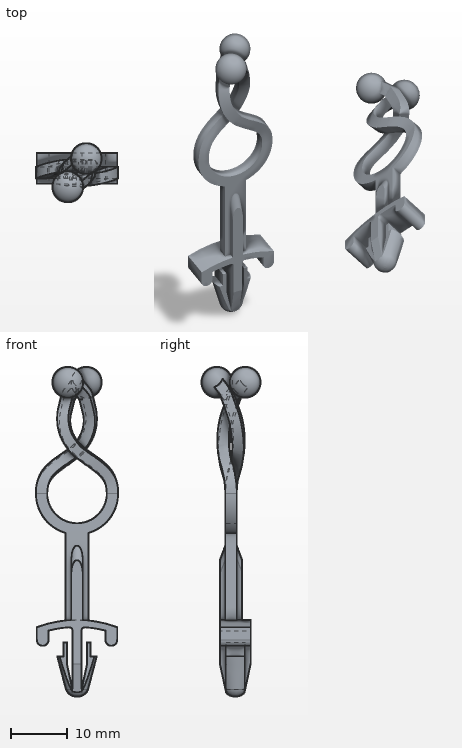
import cadquery as cq
import math

strap = 2.05
ring_outer_radius = 7.25
ring_inner_radius = ring_outer_radius - strap
ring_radius = ring_outer_radius - strap / 2
ring_z = 35.75
stem_half_width = 2.05

total_height = 58.05
ball_radius = 2.7
ball_x = 1.6
ball_y = 2.5
ball_z = total_height - ball_radius

arm_lift_angle = 32
arm_lift_y = -0.35
arm_exit_angle = 64
arm_exit_y = -1.0
arm_crossing = (0, -1.3, 43.4)
arm_outermost = (-2.3, -0.65, 49.35)
arm_return = (-1.6, 0.45, 52.45)
arm_end = (0.1, 2.0, 54.95)
arm_start_direction = (0, 0, 1)
arm_end_direction = (0.6, 0.5, 0.7)

rib_half_width = 1.0
rib_half_depth = 2.0
rib_apex_z = 26.6
rib_arch_height = 2.3
rib_slope_drop = 2.55

plate_front_y = -rib_half_depth
plate_depth = 5.45
anchor_y = plate_front_y + plate_depth / 2
plate_half_width = 7.1
plate_crown_z = 13.5
plate_edge_z = 12.25
plate_thickness = 1.3
leg_width = 2.1
leg_bottom_z = 8.95
root_fillet = 0.6

post_half_width = 0.8
post_taper_z = 5.8
post_tip_z = 0.85
barb_depth = 3.3
barb_root_radius = 2.0
barb_root_z = 1.35
barb_shelf_radius = 3.5
barb_shelf_z = 7.1
finger_outer_x = 2.4
finger_inner_x = 1.75
finger_top_z = 9.6
slot_bend_z = 5.7
tip_bulge_x = 1.2
tip_bulge_z = 0.35


def box_between(x0, x1, y0, y1, z0, z1):
    return cq.Workplane("XY").box(x1 - x0, y1 - y0, z1 - z0, centered=False).translate((x0, y0, z0))


def front_prism(sketch, depth, center_y):
    """Extrude an XZ outline symmetrically about the plane Y = center_y."""
    return sketch.extrude(depth / 2, both=True).translate((0, center_y, 0))


def ring_and_stem():
    """Lower half of the ring, standing on the flat stem."""
    disc = front_prism(cq.Workplane("XZ").center(0, ring_z).circle(ring_outer_radius), strap, 0)
    hole = front_prism(cq.Workplane("XZ").center(0, ring_z).circle(ring_inner_radius), 2 * strap, 0)
    stem = box_between(-stem_half_width, stem_half_width, -strap / 2, strap / 2,
                       plate_edge_z, ring_z - ring_inner_radius)
    lower_half = box_between(-ring_outer_radius, ring_outer_radius, -strap, strap, 0, ring_z)
    return disc.union(stem).cut(hole).intersect(lower_half)


def arm_with_ball():
    """Right arm: closes the ring, crosses in front, then swings back to its ball."""
    def on_ring(degrees, y):
        angle = math.radians(degrees)
        return (ring_radius * math.cos(angle), y, ring_z + ring_radius * math.sin(angle))

    path = cq.Workplane("XY").spline(
        [
            on_ring(0, 0),
            on_ring(arm_lift_angle, arm_lift_y),
            on_ring(arm_exit_angle, arm_exit_y),
            arm_crossing,
            arm_outermost,
            arm_return,
            arm_end,
        ],
        tangents=[arm_start_direction, arm_end_direction],
    )
    start = cq.Workplane("XY", origin=on_ring(0, 0))
    arm = start.rect(strap, strap).sweep(path)
    ball = cq.Workplane("XY").sphere(ball_radius).translate((ball_x, ball_y, ball_z))
    return arm.union(ball)


def rib():
    """Rear stem rib whose arched top slopes down towards its outer face."""
    def outline(workplane, apex_z):
        shoulder_z = apex_z - rib_arch_height
        return (
            workplane.moveTo(-rib_half_width, plate_edge_z)
            .lineTo(rib_half_width, plate_edge_z)
            .lineTo(rib_half_width, shoulder_z)
            .ellipseArc(rib_half_width, rib_arch_height, 0, 180, startAtCurrent=True)
            .close()
        )

    inner = outline(cq.Workplane("XZ", origin=(0, strap / 2, 0)), rib_apex_z)
    rise = rib_half_depth - strap / 2
    return outline(inner.workplane(offset=-rise), rib_apex_z - rib_slope_drop).loft(ruled=True)


def spring_plate():
    """Bowed plate with a round-ended leg at each side."""
    leg_inner_x = plate_half_width - leg_width
    leg_round_z = leg_bottom_z + leg_width / 2
    under_edge_z = plate_edge_z - plate_thickness / 2
    sketch = (
        cq.Workplane("XZ").moveTo(-plate_half_width, plate_edge_z)
        .threePointArc((0, plate_crown_z), (plate_half_width, plate_edge_z))
        .lineTo(plate_half_width, leg_round_z)
        .threePointArc((plate_half_width - leg_width / 2, leg_bottom_z), (leg_inner_x, leg_round_z))
        .lineTo(leg_inner_x, under_edge_z)
        .threePointArc((0, plate_crown_z - plate_thickness), (-leg_inner_x, under_edge_z))
        .lineTo(-leg_inner_x, leg_round_z)
        .threePointArc((leg_width / 2 - plate_half_width, leg_bottom_z), (-plate_half_width, leg_round_z))
        .close()
    )
    return front_prism(sketch, plate_depth, anchor_y)


def post():
    """Central anchor post, tapering in depth towards the tip."""
    half_depth = plate_depth / 2
    top_z = plate_crown_z - plate_thickness / 2
    return (
        cq.Workplane("YZ").center(anchor_y, 0)
        .polyline([
            (-half_depth, top_z),
            (half_depth, top_z),
            (half_depth, post_taper_z),
            (barb_depth / 2, post_tip_z),
            (-barb_depth / 2, post_tip_z),
            (-half_depth, post_taper_z),
        ])
        .close().extrude(post_half_width, both=True)
    )


def barbs():
    """Round-nosed cone cut to the barb depth, with a slot on each side of the post."""
    nose = (
        cq.Workplane("XZ").moveTo(0, 0)
        .threePointArc((tip_bulge_x, tip_bulge_z), (barb_root_radius, barb_root_z))
        .lineTo(barb_shelf_radius, barb_shelf_z)
        .lineTo(0, barb_shelf_z)
        .close().revolve(360, (0, 0, 0), (0, 1, 0))
        .translate((0, anchor_y, 0))
    )
    fingers = box_between(-finger_outer_x, finger_outer_x, anchor_y - barb_depth / 2,
                          anchor_y + barb_depth / 2, barb_root_z, finger_top_z)
    slab = box_between(-barb_shelf_radius, barb_shelf_radius, anchor_y - barb_depth / 2,
                       anchor_y + barb_depth / 2, 0, barb_shelf_z)
    slot = front_prism(
        cq.Workplane("XZ").polyline([
            (-post_half_width, barb_root_z),
            (post_half_width, barb_root_z),
            (finger_inner_x, slot_bend_z),
            (finger_inner_x, finger_top_z),
            (-finger_inner_x, finger_top_z),
            (-finger_inner_x, slot_bend_z),
        ]).close(),
        plate_depth, anchor_y,
    )
    finger_blank = fingers.cut(box_between(-barb_shelf_radius, barb_shelf_radius, -plate_depth,
                                           plate_depth, 0, barb_shelf_z))
    return nose.intersect(slab).union(finger_blank).cut(slot)


plate_and_post = spring_plate().union(post())
root_corners = cq.selectors.BoxSelector(
    (-2 * post_half_width, -plate_depth, plate_edge_z - plate_thickness),
    (2 * post_half_width, plate_depth, plate_crown_z - plate_thickness / 2),
)
plate_and_post = plate_and_post.edges("|Y").edges(root_corners).fillet(root_fillet)

body = ring_and_stem().union(plate_and_post).union(barbs())

for turn in (0, 180):
    for feature in (rib(), arm_with_ball()):
        body = body.union(feature.rotate((0, 0, 0), (0, 0, 1), turn))

result = body